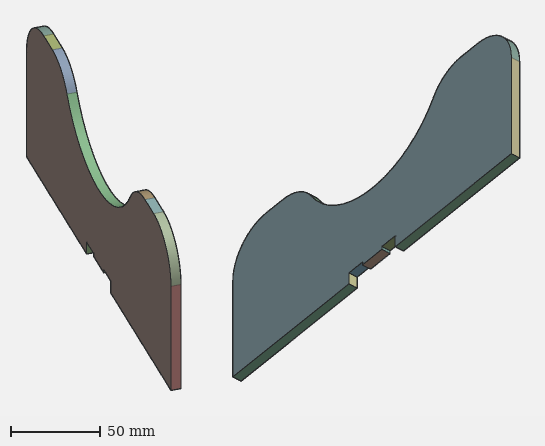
import cadquery as cq
import math

length = 250.0
thickness = 6.0
height = 100.0

shoulder_radius = 30.0
shoulder_flat = 15.0
saddle_radius = 65.0

notch_width = 41.5
notch_depth = 8.0
tab_width = 17.5
tab_drop = 2.0

half_length = length / 2
shoulder_z = height - shoulder_radius
outer_x = half_length - shoulder_radius
inner_x = outer_x - shoulder_flat

centre_distance = saddle_radius + shoulder_radius
saddle_z = shoulder_z + math.sqrt(centre_distance**2 - inner_x**2)
tangent_x = inner_x * saddle_radius / centre_distance
tangent_z = saddle_z - (saddle_z - shoulder_z) * saddle_radius / centre_distance


def make_plate():
    """Plate outline in XZ, extruded to be centred on Y = 0."""
    return (
        cq.Workplane("XZ")
        .moveTo(-half_length, 0)
        .lineTo(half_length, 0)
        .lineTo(half_length, shoulder_z)
        .tangentArcPoint((outer_x, height), relative=False)
        .lineTo(inner_x, height)
        .tangentArcPoint((tangent_x, tangent_z), relative=False)
        .threePointArc((0, saddle_z - saddle_radius), (-tangent_x, tangent_z))
        .tangentArcPoint((-inner_x, height), relative=False)
        .lineTo(-outer_x, height)
        .tangentArcPoint((-half_length, shoulder_z), relative=False)
        .close()
        .extrude(thickness / 2, both=True)
    )


def make_notch():
    """Material removed from the bottom edge, leaving the tab."""
    notch = cq.Workplane("XY").box(
        notch_width, thickness, notch_depth, centered=(True, True, False)
    )
    tab = (
        cq.Workplane("XY")
        .workplane(offset=notch_depth - tab_drop)
        .box(tab_width, thickness, tab_drop, centered=(True, True, False))
    )
    return notch.cut(tab)


result = make_plate().cut(make_notch())